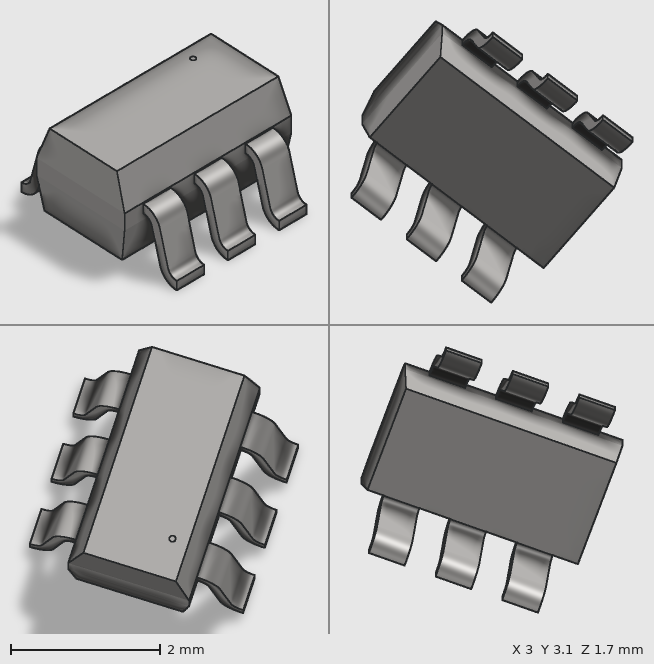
import cadquery as cq
import math


body_width = 1.7
body_length = 3.1
package_height = 1.7
standoff = 0.255
body_height = package_height - standoff
band_height = body_height / 5
taper_height = (body_height - band_height) / 2
top_inset_x = 0.2
bottom_inset_x = 0.1
end_inset_y = 0.05

band_bottom_z = standoff + taper_height
band_top_z = band_bottom_z + band_height

lead_span = 3.0
lead_width = 0.51
lead_thickness = 0.16
lead_pitch = 0.95
leads_per_side = 3
lead_top_z = 1.1
inner_bend_radius = 0.17
outer_bend_radius = inner_bend_radius + lead_thickness
leg_tilt = math.radians(15)
bend_angle = math.pi / 2 - leg_tilt

marker_diameter = 0.085
marker_depth = 0.05
marker_x = -body_width / 4
marker_y = lead_pitch


def tapered_block(start_z, height, start_size, end_size):
    """Block whose rectangular section changes evenly from start_size to end_size."""
    return (
        cq.Workplane("XY", origin=(0, 0, start_z))
        .rect(*start_size)
        .workplane(offset=height)
        .rect(*end_size)
        .loft(ruled=True, combine=True)
    )


def make_marker():
    """Thin disc set into the top face beside pin 1."""
    return (
        cq.Workplane("XY", origin=(marker_x, marker_y, package_height - marker_depth))
        .circle(marker_diameter / 2)
        .extrude(marker_depth)
    )


def make_body(marker):
    """Body with a straight middle band and tapers above and below it, recessed for the marker."""
    band_size = (body_width, body_length)
    bottom_size = (body_width - 2 * bottom_inset_x, body_length - 2 * end_inset_y)
    top_size = (body_width - 2 * top_inset_x, body_length - 2 * end_inset_y)

    lower = tapered_block(standoff, taper_height, bottom_size, band_size)
    band = tapered_block(band_bottom_z, band_height, band_size, band_size)
    upper = tapered_block(band_top_z, taper_height, band_size, top_size)
    return lower.union(band).union(upper).cut(marker)


def make_lead(side, y):
    """Gull-wing lead from the body wall out to its foot; side is +1 for +X and -1 for -X."""
    wall_x = body_width / 2
    tip_x = lead_span / 2
    shoulder_bottom_z = lead_top_z - lead_thickness

    bend_radii = inner_bend_radius + outer_bend_radius
    bends_reach = bend_radii * math.sin(bend_angle)
    bends_drop = bend_radii * (1 - math.cos(bend_angle))
    leg_drop = shoulder_bottom_z - bends_drop
    leg_reach = leg_drop * math.tan(leg_tilt)
    flat_length = (tip_x - wall_x - bends_reach - leg_reach) / 2

    shoulder_x = wall_x + flat_length
    shoulder_center_z = lead_top_z - outer_bend_radius
    foot_x = tip_x - flat_length
    foot_center_z = outer_bend_radius

    def shoulder_point(radius, angle):
        """Point on the upper bend, with the angle measured from straight up."""
        x = shoulder_x + radius * math.sin(angle)
        return (side * x, shoulder_center_z + radius * math.cos(angle))

    def foot_point(radius, angle):
        """Point on the lower bend, with the angle measured from straight down."""
        x = foot_x - radius * math.sin(angle)
        return (side * x, foot_center_z - radius * math.cos(angle))

    half_bend = bend_angle / 2
    profile = (
        cq.Workplane("XZ", origin=(0, y, 0))
        .moveTo(side * wall_x, lead_top_z)
        .lineTo(*shoulder_point(outer_bend_radius, 0))
        .threePointArc(
            shoulder_point(outer_bend_radius, half_bend),
            shoulder_point(outer_bend_radius, bend_angle),
        )
        .lineTo(*foot_point(inner_bend_radius, bend_angle))
        .threePointArc(
            foot_point(inner_bend_radius, half_bend),
            foot_point(inner_bend_radius, 0),
        )
        .lineTo(side * tip_x, lead_thickness)
        .lineTo(side * tip_x, 0)
        .lineTo(*foot_point(outer_bend_radius, 0))
        .threePointArc(
            foot_point(outer_bend_radius, half_bend),
            foot_point(outer_bend_radius, bend_angle),
        )
        .lineTo(*shoulder_point(inner_bend_radius, bend_angle))
        .threePointArc(
            shoulder_point(inner_bend_radius, half_bend),
            shoulder_point(inner_bend_radius, 0),
        )
        .lineTo(side * wall_x, shoulder_bottom_z)
        .close()
    )
    return profile.extrude(lead_width / 2, both=True)


pin_one_marker = make_marker()
body = make_body(pin_one_marker)

leads = []
for side in (-1, 1):
    for row in range(leads_per_side):
        row_y = (row - (leads_per_side - 1) / 2) * lead_pitch
        leads.extend(make_lead(side, row_y).solids().vals())

result = cq.Compound.makeCompound([*body.solids().vals(), *pin_one_marker.solids().vals(), *leads])